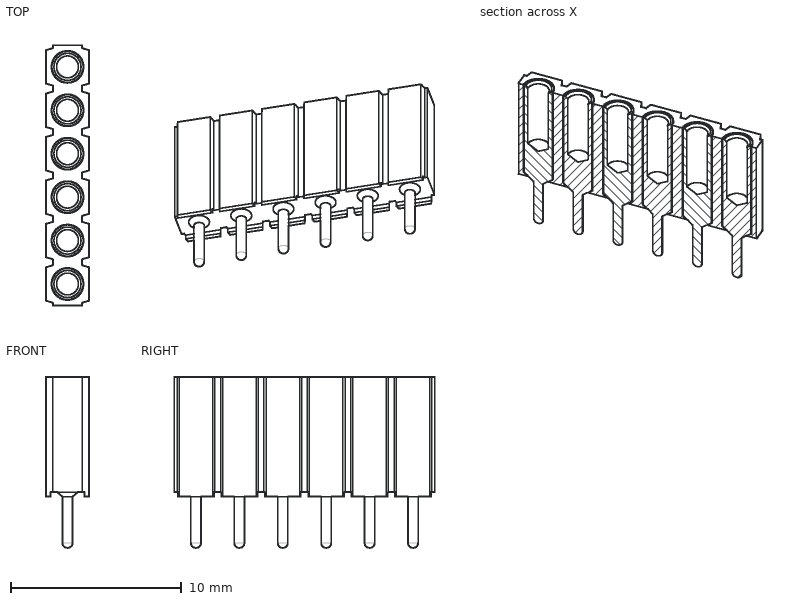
import cadquery as cq

CONTACT_COUNT = 6
ROW_LENGTH = 15.24
PITCH = ROW_LENGTH / CONTACT_COUNT

HOUSING_WIDTH = PITCH
HOUSING_HEIGHT = 7.01
WAIST_WIDTH = 1.7
NOTCH_MOUTH_HALF = 0.29
NOTCH_FLOOR_HALF = 0.17
CHANNEL_WIDTH = 1.98
CHANNEL_DEPTH = 0.27

BARREL_RADIUS = 0.91
BARREL_CLEARANCE = 0.03
FUNNEL_RADIUS = 0.8
BORE_RADIUS = 0.64
FUNNEL_DEPTH = FUNNEL_RADIUS - BORE_RADIUS
BORE_DEPTH = 4.27
DRILL_POINT_DEPTH = 0.37
CONE_HEIGHT = 0.55
TAIL_RADIUS = 0.3
TAIL_LENGTH = 3.0


def contact_centres():
    """Y position of every contact, spaced evenly about the origin."""
    first = -(CONTACT_COUNT - 1) * PITCH / 2
    return [first + i * PITCH for i in range(CONTACT_COUNT)]


def make_housing_block(y_centre):
    """Block around one contact, one pitch long, with notched corners."""
    side = HOUSING_WIDTH / 2
    waist = WAIST_WIDTH / 2
    end = PITCH / 2
    corner = [
        (side, end - NOTCH_MOUTH_HALF),
        (waist, end - NOTCH_FLOOR_HALF),
        (waist, end),
    ]
    right = [(x, -y) for x, y in reversed(corner)] + corner
    left = [(-x, y) for x, y in reversed(right)]
    block = cq.Workplane("XY").polyline(right + left).close().extrude(HOUSING_HEIGHT)
    return block.translate((0, y_centre, 0))


def make_housing():
    """Row of joined blocks with an underside channel and a seated hole for each contact."""
    housing = make_housing_block(contact_centres()[0])
    for y in contact_centres()[1:]:
        housing = housing.union(make_housing_block(y))
    channel = cq.Workplane("XY").box(
        CHANNEL_WIDTH, ROW_LENGTH, CHANNEL_DEPTH, centered=(True, True, False)
    )
    housing = housing.cut(channel)
    for y in contact_centres():
        housing = housing.cut(make_contact_hole(y))
    return housing


def revolve_at(profile, y_centre):
    """Turn a closed profile about the Z axis and move it to its place in the row."""
    return profile.revolve(360, (0, 0, 0), (0, 1, 0)).translate((0, y_centre, 0))


def make_contact_hole(y_centre):
    """Clearance hole around the barrel, closed below by a conical seat for the contact."""
    hole_radius = BARREL_RADIUS + BARREL_CLEARANCE
    profile = (
        cq.Workplane("XZ")
        .moveTo(0, 0)
        .lineTo(TAIL_RADIUS, 0)
        .lineTo(BARREL_RADIUS, CONE_HEIGHT)
        .lineTo(hole_radius, CONE_HEIGHT)
        .lineTo(hole_radius, HOUSING_HEIGHT)
        .lineTo(0, HOUSING_HEIGHT)
        .close()
    )
    return revolve_at(profile, y_centre)


def make_contact(y_centre):
    """Turned contact with a round-ended tail and a funnelled blind bore."""
    profile = (
        cq.Workplane("XZ")
        .moveTo(0, -TAIL_LENGTH)
        .radiusArc((TAIL_RADIUS, TAIL_RADIUS - TAIL_LENGTH), -TAIL_RADIUS)
        .lineTo(TAIL_RADIUS, 0)
        .lineTo(BARREL_RADIUS, CONE_HEIGHT)
        .lineTo(BARREL_RADIUS, HOUSING_HEIGHT)
        .lineTo(FUNNEL_RADIUS, HOUSING_HEIGHT)
        .lineTo(BORE_RADIUS, HOUSING_HEIGHT - FUNNEL_DEPTH)
        .lineTo(BORE_RADIUS, HOUSING_HEIGHT - BORE_DEPTH)
        .lineTo(0, HOUSING_HEIGHT - BORE_DEPTH - DRILL_POINT_DEPTH)
        .close()
    )
    return revolve_at(profile, y_centre)


housing = make_housing()
contacts = [make_contact(y) for y in contact_centres()]

result = cq.Compound.makeCompound([housing.val(), *[contact.val() for contact in contacts]])